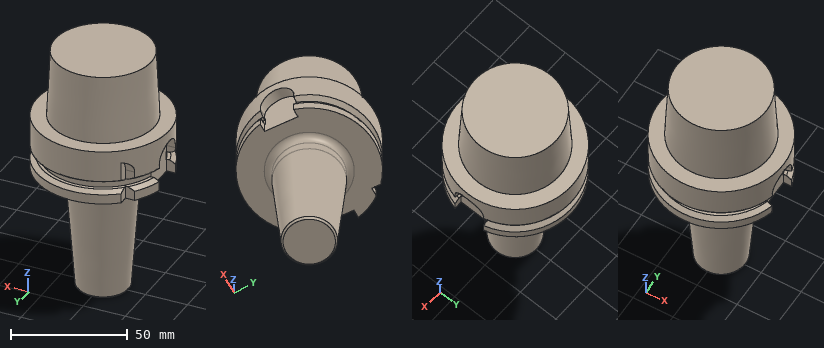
import cadquery as cq
import math

total_height = 117.0
taper_height = 32.0
flange_height = 26.0
flange_top = total_height - taper_height
flange_bottom = flange_top - flange_height

taper_top_radius = 22.8
taper_base_radius = 24.3

flange_radius = 63.0 / 2
groove_radius = 27.4
groove_lip_radius = 29.0
groove_width = 3.7
groove_depth_from_top = 18.1
lip_chamfer_height = 1.4
groove_middle = flange_top - groove_depth_from_top
groove_upper = groove_middle + groove_width / 2
groove_lower = groove_middle - groove_width / 2

neck_radius = 32.0 / 2
neck_fillet = 3.3
neck_bottom = 50.8
nose_radius = 12.2
nose_chamfer = 0.9

slot_width = 16.0
slot_floor = 26.3
slot_top = flange_top - 5.1

notch_width = 11.9
notch_floor = 20.0
notch_inner_side = 19.9
notch_top = 79.1


def make_taper():
    """Solid cone standing on the flange face."""
    return (
        cq.Workplane("XZ")
        .moveTo(0, flange_top)
        .lineTo(taper_base_radius, flange_top)
        .lineTo(taper_top_radius, total_height)
        .lineTo(0, total_height)
        .close()
        .revolve(360, (0, 0, 0), (0, 1, 0))
    )


def make_turned_chuck():
    """Flange, neck and conical nose as one turned shape."""
    arc_offset = neck_fillet * (1 - math.sqrt(0.5))
    return (
        cq.Workplane("XZ")
        .moveTo(0, 0)
        .lineTo(nose_radius - nose_chamfer, 0)
        .lineTo(nose_radius, nose_chamfer)
        .lineTo(neck_radius, neck_bottom)
        .lineTo(neck_radius, flange_bottom - neck_fillet)
        .threePointArc(
            (neck_radius + arc_offset, flange_bottom - arc_offset),
            (neck_radius + neck_fillet, flange_bottom),
        )
        .lineTo(flange_radius, flange_bottom)
        .lineTo(flange_radius, groove_lower - lip_chamfer_height)
        .lineTo(groove_lip_radius, groove_lower)
        .lineTo(groove_radius, groove_lower)
        .lineTo(groove_radius, groove_upper)
        .lineTo(groove_lip_radius, groove_upper)
        .lineTo(flange_radius, groove_upper + lip_chamfer_height)
        .lineTo(flange_radius, flange_top)
        .lineTo(0, flange_top)
        .close()
        .revolve(360, (0, 0, 0), (0, 1, 0))
    )


def round_topped_cutter(width, top, floor, center_y):
    """Arch-shaped cutter running from x = floor out past the flange."""
    radius = width / 2
    shoulder = top - radius
    return (
        cq.Workplane("YZ", origin=(floor, center_y, 0))
        .moveTo(-radius, flange_bottom)
        .lineTo(-radius, shoulder)
        .threePointArc((0, top), (radius, shoulder))
        .lineTo(radius, flange_bottom)
        .close()
        .extrude(flange_radius)
    )


def make_chuck():
    chuck = make_turned_chuck()

    drive_slot = round_topped_cutter(slot_width, slot_top, slot_floor, 0)
    for angle in (0, 180):
        chuck = chuck.cut(drive_slot.rotate((0, 0, 0), (0, 0, 1), angle))

    notch_center = notch_inner_side + notch_width / 2
    notch = round_topped_cutter(notch_width, notch_top, notch_floor, notch_center)
    return chuck.cut(notch.mirror("YZ"))


taper = make_taper()
chuck = make_chuck()
result = cq.Compound.makeCompound([taper.val(), chuck.val()])